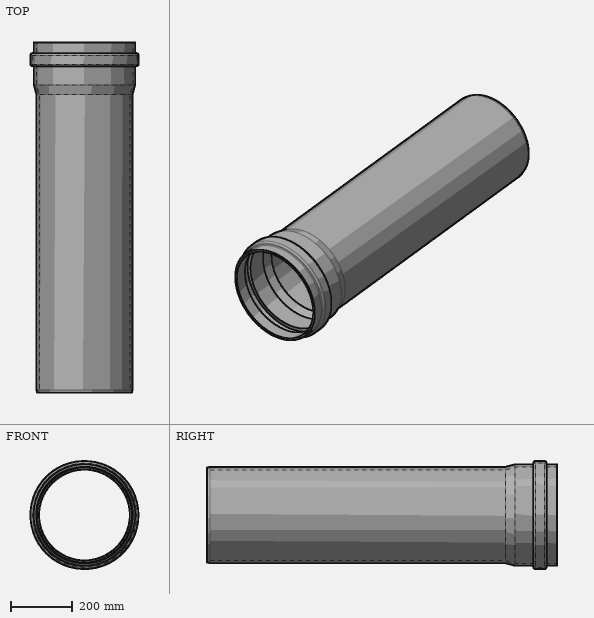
import cadquery as cq
import math

total_length = 1144.0
pipe_diameter = 315.3
bore_diameter = 295.7
spigot_chamfer_length = 10.0
spigot_chamfer_angle = 15.0

socket_outer_diameter = 331.95
socket_inner_diameter = 316.35
socket_depth = 138.0
taper_length = 31.0

bead_outer_diameter = 353.7
groove_diameter = 339.9
bead_offset = 35.0
bead_width = 43.0
bead_base_radius = 3.0
bead_corner_radius = (bead_outer_diameter - groove_diameter) / 2

socket_bottom = total_length - socket_depth
taper_start = socket_bottom - taper_length
bead_end = total_length - bead_offset
bead_start = bead_end - bead_width


def revolved(profile):
    """Close a radius-along-Y profile and turn it about the Y axis."""
    return profile.close().revolve(360, (0, 0, 0), (0, 1, 0))


def make_outside():
    """Chamfered pipe, taper and socket as a solid body without the bead."""
    pipe_radius = pipe_diameter / 2
    chamfer_depth = spigot_chamfer_length * math.tan(math.radians(spigot_chamfer_angle))
    profile = (
        cq.Workplane("XY")
        .moveTo(0, 0)
        .lineTo(pipe_radius - chamfer_depth, 0)
        .lineTo(pipe_radius, spigot_chamfer_length)
        .lineTo(pipe_radius, taper_start)
        .lineTo(socket_outer_diameter / 2, socket_bottom)
        .lineTo(socket_outer_diameter / 2, total_length)
        .lineTo(0, total_length)
    )
    return revolved(profile)


def make_bead():
    """Ring with rounded corners and narrow flat sides, blended into the socket wall."""
    base_level = socket_outer_diameter / 2
    top_level = bead_outer_diameter / 2
    base_arc_top = base_level + bead_base_radius
    corner_arc_bottom = top_level - bead_corner_radius
    profile = (
        cq.Workplane("XY")
        .moveTo(0, bead_start - bead_base_radius)
        .lineTo(base_level, bead_start - bead_base_radius)
        .radiusArc((base_arc_top, bead_start), bead_base_radius)
        .lineTo(corner_arc_bottom, bead_start)
        .radiusArc((top_level, bead_start + bead_corner_radius), -bead_corner_radius)
        .lineTo(top_level, bead_end - bead_corner_radius)
        .radiusArc((corner_arc_bottom, bead_end), -bead_corner_radius)
        .lineTo(base_arc_top, bead_end)
        .radiusArc((base_level, bead_end + bead_base_radius), bead_base_radius)
        .lineTo(0, bead_end + bead_base_radius)
    )
    return revolved(profile)


def make_inside():
    """Pipe bore widening through the taper into the socket."""
    profile = (
        cq.Workplane("XY")
        .moveTo(0, 0)
        .lineTo(bore_diameter / 2, 0)
        .lineTo(bore_diameter / 2, taper_start)
        .lineTo(socket_inner_diameter / 2, socket_bottom)
        .lineTo(socket_inner_diameter / 2, total_length)
        .lineTo(0, total_length)
    )
    return revolved(profile)


def make_groove():
    """Square seal groove that leaves an even wall under the bead."""
    wall = (bead_outer_diameter - groove_diameter) / 2
    return (
        cq.Workplane("XZ", origin=(0, bead_end - wall, 0))
        .circle(groove_diameter / 2)
        .extrude(bead_width - 2 * wall)
    )


result = make_outside().union(make_bead()).cut(make_inside()).cut(make_groove())